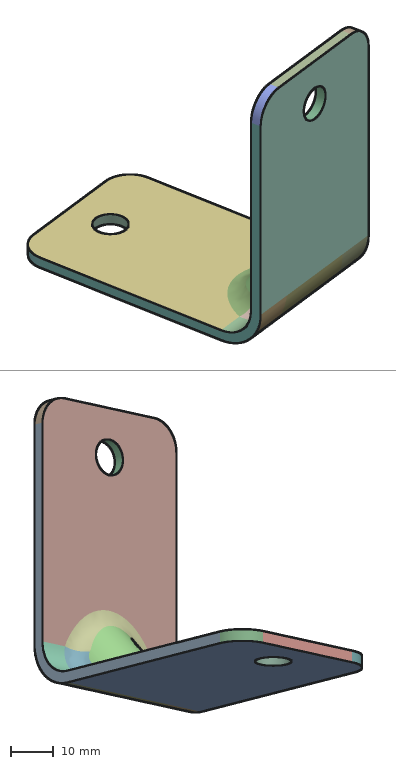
import cadquery as cq
import math

leg_length = 71.36
width = 42.81
thickness = 2.854
inner_bend_radius = 8.56
corner_radius = 7.136
hole_diameter = 8.56
hole_to_end = 11.89

gusset_leg = 17.13
gusset_radius = 11.42
gusset_fillet = 5.71

select_margin = 0.1

outer_bend_radius = inner_bend_radius + thickness
hole_offset = leg_length - hole_to_end


def make_bent_strip():
    """L-shaped strip with concentric bend radii, centred on Y = 0."""
    strip = (
        cq.Workplane("XZ")
        .polyline([
            (-leg_length, 0),
            (0, 0),
            (0, leg_length),
            (-thickness, leg_length),
            (-thickness, thickness),
            (-leg_length, thickness),
        ])
        .close()
        .extrude(width / 2, both=True)
    )
    inner_corner = cq.selectors.NearestToPointSelector((-thickness, 0, thickness))
    strip = strip.edges(inner_corner).fillet(inner_bend_radius)
    outer_corner = cq.selectors.NearestToPointSelector((0, 0, 0))
    return strip.edges(outer_corner).fillet(outer_bend_radius)


def round_leg_ends(strip):
    """Round the two free corners of each leg."""
    strip = strip.edges("<X and |Z").fillet(corner_radius)
    return strip.edges(">Z and |X").fillet(corner_radius)


def drill_leg_holes(strip):
    """One through hole near the free end of each leg."""
    floor_hole = (
        cq.Workplane("XY")
        .center(-hole_offset, 0)
        .circle(hole_diameter / 2)
        .extrude(thickness)
    )
    wall_hole = (
        cq.Workplane("YZ")
        .center(0, hole_offset)
        .circle(hole_diameter / 2)
        .extrude(-thickness)
    )
    return strip.cut(floor_hole).cut(wall_hole)


def make_gusset():
    """Leaning cylinder, trimmed to the space inside the outer bend surface."""
    axis_drop = gusset_radius * math.sqrt(2)
    axis_leg = gusset_leg - axis_drop
    axis_middle = cq.Vector(-thickness - axis_leg / 2, 0, thickness + axis_leg / 2)
    axis_direction = cq.Vector(1, 0, 1).normalized()
    length = 2 * leg_length
    start = axis_middle - axis_direction * (length / 2)
    ridge_direction = cq.Vector(-1, 0, 1)
    plane = cq.Plane(origin=start, xDir=ridge_direction, normal=axis_direction)
    cylinder = cq.Workplane(plane).circle(gusset_radius).extrude(length)
    envelope = (
        cq.Workplane("XZ")
        .rect(-leg_length, leg_length, centered=False)
        .extrude(width / 2, both=True)
        .edges(">X and <Z")
        .fillet(outer_bend_radius)
    )
    return cylinder.intersect(envelope)


def blend_gusset(bracket):
    """Fillet the edge loop where the gusset meets the inside of the bracket."""
    reach = thickness + gusset_leg + select_margin
    half_span = gusset_radius + select_margin
    inner_face = thickness - select_margin
    foot_zone = cq.selectors.BoxSelector(
        (-reach, -half_span, inner_face),
        (-inner_face, half_span, reach),
        boundingbox=True,
    )
    ridge = cq.selectors.ParallelDirSelector(cq.Vector(1, 0, 1))
    return bracket.edges(foot_zone - ridge).fillet(gusset_fillet)


bracket = drill_leg_holes(round_leg_ends(make_bent_strip()))
bracket = bracket.union(make_gusset())
result = blend_gusset(bracket)